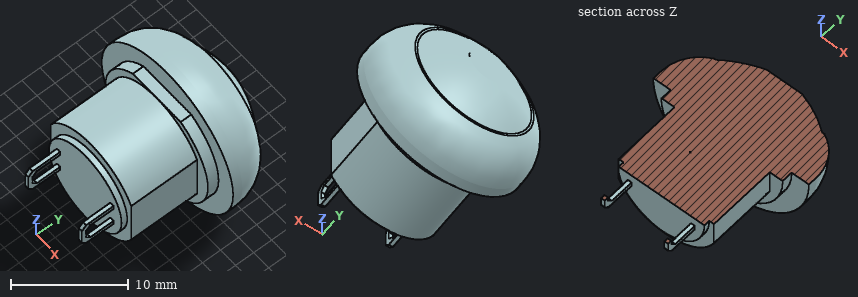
import cadquery as cq

overall_length = 19.63

flange_radius = 17.5 / 2
flange_front = 1.02
rim_radius = 6.22
rim_front = 4.99
button_radius = 5.99
button_front = 7.0
button_face_radius = 1.98
button_bulge = 0.24

collar_radius = 6.81
collar_flat_height = 6.03
collar_rear = -1.18
body_radius = 5.99
body_rear = -8.48
body_half_width = 5.35
boss_radius = 9.65 / 2
boss_rear = -9.1

terminal_rear = button_front - overall_length
terminal_offset = 3.55
terminal_thickness = 0.43
terminal_width = 2.83
terminal_wall = 0.47
terminal_chamfer = 0.47


def disc(radius, front, rear):
    """Cylinder along Y between two faces."""
    return cq.Workplane("XZ", origin=(0, front, 0)).circle(radius).extrude(front - rear)


def make_head():
    """Flange, rounded bezel and domed button, revolved about Y."""
    button_middle = (
        (button_radius + button_face_radius) / 2,
        (rim_front + button_front) / 2 + button_bulge,
    )
    return (
        cq.Workplane("XY")
        .lineTo(flange_radius, 0)
        .lineTo(flange_radius, flange_front)
        .tangentArcPoint((rim_radius, rim_front), relative=False)
        .lineTo(button_radius, rim_front)
        .threePointArc(button_middle, (button_face_radius, button_front))
        .lineTo(0, button_front)
        .close()
        .revolve(360, (0, 0, 0), (0, 1, 0))
    )


def make_collar():
    """Collar with a locating flat on top."""
    size = 2 * collar_radius
    keep = cq.Workplane("XY").box(size, size, size).translate((0, 0, collar_flat_height - collar_radius))
    return disc(collar_radius, 0, collar_rear).intersect(keep)


def make_body():
    """Round body with two side flats."""
    length = collar_rear - body_rear
    keep = cq.Workplane("XY").box(2 * body_half_width, length, 2 * body_radius)
    keep = keep.translate((0, (collar_rear + body_rear) / 2, 0))
    return disc(body_radius, collar_rear, body_rear).intersect(keep)


def make_terminal(x):
    """Flat solder lug with a chamfered tip and an open slot from the boss."""
    length = boss_rear - terminal_rear
    middle = (boss_rear + terminal_rear) / 2
    lug = cq.Workplane("XY").box(terminal_thickness, length, terminal_width)
    lug = lug.edges("|X and <Y").chamfer(terminal_chamfer)
    slot = cq.Workplane("XY").box(terminal_thickness, length, terminal_width - 2 * terminal_wall)
    slot = slot.edges("|X and <Y").chamfer(terminal_chamfer)
    return lug.cut(slot.translate((0, terminal_wall, 0))).translate((x, middle, 0))


result = make_head().union(make_collar()).union(make_body())
result = result.union(disc(boss_radius, body_rear, boss_rear))
for side in (-1, 1):
    result = result.union(make_terminal(side * terminal_offset))